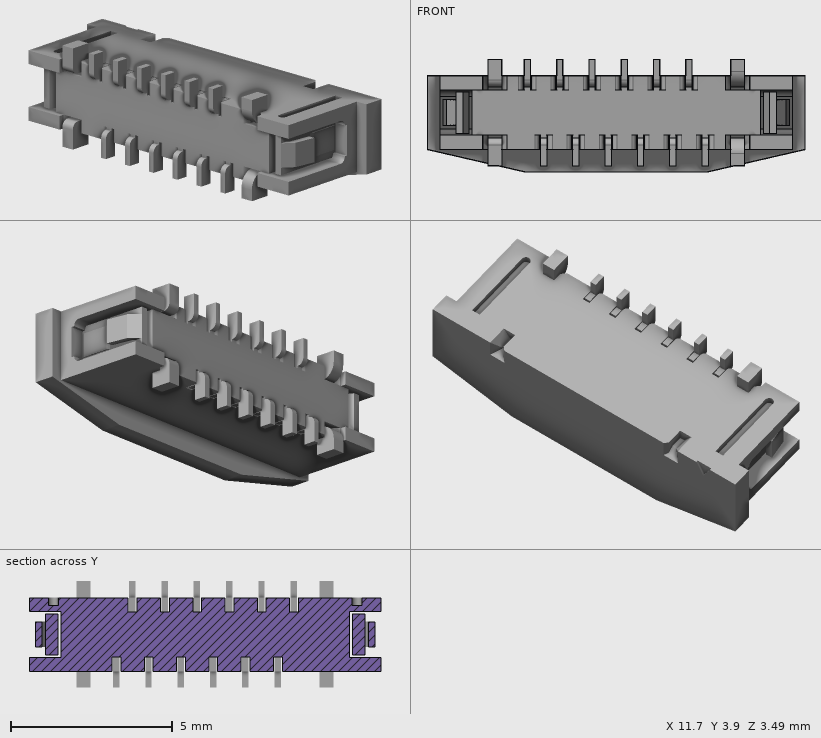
import cadquery as cq


flange_width = 11.7
total_depth = 3.9
flange_depth = 0.7
flange_step = 0.4
housing_height = 2.29
front_y = 0.25
ear_front_y = 0.06
ear_inner_x = 4.14
hump_drop = 0.7
hump_half_width = 2.8

flange_front_y = total_depth - flange_depth
body_half_width = flange_width / 2 - flange_step
top_z = housing_height / 2

window_height = 1.4
window_inner_x = 4.47
window_back_y = 2.65
window_corner_radius = 0.2
window_relief_depth = 0.1

slab_z = window_height / 2
slab_thickness = top_z - slab_z

plate_height = 1.29
plate_outer_x = 4.96
plate_front_inner_x = 4.74
plate_back_inner_x = 4.55
plate_taper_end_y = 0.62
plate_embed = 0.02
lance_height = 0.8
lance_bend = (5.25, 0.6)
lance_tip = (5.36, 1.35)
lance_thickness = 0.22
pad_front_y = 1.59
pad_ramp_length = 0.1
pad_rise = 0.04

groove_center_x = 4.7
groove_width = 0.29
groove_front_y = 0.47
groove_depth = 0.23

notch_inner_x = 3.19
notch_outer_x = 3.63
notch_floor_width = 0.15
notch_depth = 0.35
notch_ramp_length = 0.3
notch_ramp_drop = 0.23
notch_flare = 0.12

mark_center_x = -4.61
mark_width = 0.53
mark_height = 0.47
mark_depth = 0.07

contact_count = 12
contact_row_span = 5.5
contact_width = 0.2
pin_rise = 0.5
pin_length = 0.71
contact_post_length = 0.42
bend_radius = 0.22
wide_bend_radius = 0.49
bend_bottom_gap = 0.08
pin_root = 0.06
slot_width = 0.26
slot_back_y = 0.78
slot_mouth_radius = 0.14
fitting_x = 3.75
fitting_width = 0.43
fitting_mouth_chamfer = 0.15
fitting_root_y = 0.53

contact_pitch = contact_row_span / (contact_count - 1)
pin_top_z = top_z + pin_rise
bend_bottom_z = slab_z + bend_bottom_gap


def block(x0, x1, y0, y1, z0, z1):
    """Box between two opposite corners."""
    return cq.Workplane("XY").box(x1 - x0, y1 - y0, z1 - z0, centered=False).translate((x0, y0, z0))


def from_plan(outline, height):
    """Prism of an XY outline, centred on the housing mid-height."""
    return cq.Workplane("XY").polyline(outline).close().extrude(height / 2, both=True)


def both_ends(solid):
    """The solid together with its mirror image at the other end of the part."""
    return solid.union(solid.mirror("YZ"))


def upside_down(solid):
    return solid.mirror("XY")


def make_housing():
    body = block(-body_half_width, body_half_width, front_y, total_depth, -top_z, top_z)
    half_width = flange_width / 2
    flange = (
        cq.Workplane("XZ", origin=(0, total_depth, 0))
        .moveTo(-half_width, top_z)
        .lineTo(half_width, top_z)
        .lineTo(half_width, -top_z)
        .lineTo(hump_half_width, -top_z - hump_drop)
        .lineTo(-hump_half_width, -top_z - hump_drop)
        .lineTo(-half_width, -top_z)
        .close()
        .extrude(flange_depth)
    )
    ear = block(ear_inner_x, body_half_width, ear_front_y, front_y, slab_z, top_z)
    ears = both_ends(ear.union(upside_down(ear)))
    return body.union(flange).union(ears)


def make_windows():
    window = block(window_inner_x, flange_width / 2, 0, window_back_y, -slab_z, slab_z)
    window = window.edges("|X and >Y").fillet(window_corner_radius)
    relief_z = slab_z - window_corner_radius
    relief_y = window_back_y + window_relief_depth
    relief = block(window_inner_x, flange_width / 2, window_back_y, relief_y, -relief_z, relief_z)
    return both_ends(window.union(relief))


def make_plates():
    relief_y = window_back_y + window_relief_depth
    plate_back_y = relief_y + plate_embed
    plate = from_plan(
        [
            (plate_front_inner_x, front_y),
            (plate_outer_x, front_y),
            (plate_outer_x, plate_back_y),
            (plate_back_inner_x, plate_back_y),
            (plate_back_inner_x, plate_taper_end_y),
        ],
        plate_height,
    )
    pad = from_plan(
        [
            (plate_outer_x, pad_front_y),
            (plate_outer_x + pad_rise, pad_front_y + pad_ramp_length),
            (plate_outer_x + pad_rise, relief_y - pad_ramp_length),
            (plate_outer_x, relief_y),
        ],
        lance_height,
    )
    bend_x, bend_y = lance_bend
    tip_x, tip_y = lance_tip
    lance = from_plan(
        [
            (plate_outer_x, front_y),
            lance_bend,
            lance_tip,
            (tip_x - lance_thickness, tip_y),
            (bend_x - lance_thickness, bend_y),
            (plate_front_inner_x, front_y),
        ],
        lance_height,
    )
    return both_ends(plate.union(pad).union(lance))


def make_grooves():
    end_radius = groove_width / 2
    groove = (
        cq.Workplane("XY", origin=(groove_center_x, 0, top_z))
        .moveTo(-end_radius, flange_front_y)
        .lineTo(-end_radius, groove_front_y + end_radius)
        .threePointArc((0, groove_front_y), (end_radius, groove_front_y + end_radius))
        .lineTo(end_radius, flange_front_y)
        .close()
        .extrude(-groove_depth)
    )
    return both_ends(groove)


def make_notches():
    floor_z = top_z - notch_depth
    floor_outer_x = notch_inner_x + notch_floor_width
    ramp_front_y = total_depth - notch_ramp_length
    pocket = (
        cq.Workplane("XZ", origin=(0, total_depth, 0))
        .moveTo(notch_inner_x, top_z)
        .lineTo(notch_outer_x, top_z)
        .lineTo(floor_outer_x, floor_z)
        .lineTo(notch_inner_x, floor_z)
        .close()
        .extrude(flange_depth)
    )
    flare = (
        cq.Workplane("XY", origin=(0, 0, floor_z - notch_ramp_drop))
        .moveTo(notch_inner_x, ramp_front_y)
        .lineTo(floor_outer_x, ramp_front_y)
        .lineTo(notch_outer_x, total_depth)
        .lineTo(notch_inner_x - notch_flare, total_depth)
        .lineTo(notch_inner_x, total_depth - notch_flare)
        .close()
        .extrude(notch_depth + notch_ramp_drop)
    )
    under_ramp = (
        cq.Workplane("YZ")
        .moveTo(ramp_front_y, floor_z)
        .lineTo(total_depth, floor_z - notch_ramp_drop)
        .lineTo(ramp_front_y, floor_z - notch_ramp_drop)
        .close()
        .extrude(flange_width / 2)
    )
    return both_ends(pocket.union(flare.cut(under_ramp)))


def make_pin_one_mark():
    return (
        cq.Workplane("XZ", origin=(mark_center_x, total_depth, top_z))
        .moveTo(-mark_width / 2, 0)
        .lineTo(mark_width / 2, 0)
        .lineTo(0, -mark_height)
        .close()
        .extrude(mark_depth)
    )


def contact_slot(x):
    """Slot through the upper slab with a rounded mouth at the front face."""
    half = slot_width / 2
    mouth = half + slot_mouth_radius
    arc_offset = slot_mouth_radius * (1 - 0.5 ** 0.5)
    arc_end_y = front_y + slot_mouth_radius
    return (
        cq.Workplane("XY", origin=(x, 0, slab_z))
        .moveTo(-mouth, front_y)
        .threePointArc((-half - arc_offset, front_y + arc_offset), (-half, arc_end_y))
        .lineTo(-half, slot_back_y)
        .lineTo(half, slot_back_y)
        .lineTo(half, arc_end_y)
        .threePointArc((half + arc_offset, front_y + arc_offset), (mouth, front_y))
        .close()
        .extrude(slab_thickness)
    )


def fitting_recess(x):
    """Recess through the upper slab with a chamfered mouth at the front face."""
    half = fitting_width / 2
    mouth = half + fitting_mouth_chamfer
    chamfer_end_y = front_y + fitting_mouth_chamfer
    outline = [
        (-mouth, front_y),
        (-half, chamfer_end_y),
        (-half, pin_length),
        (half, pin_length),
        (half, chamfer_end_y),
        (mouth, front_y),
    ]
    return cq.Workplane("XY", origin=(x, 0, slab_z)).polyline(outline).close().extrude(slab_thickness)


def pin(x, width, radius, post_length, root_y):
    """Upright post with a rounded lower front corner, joined to a root set into the slab.

    The root starts at root_y and is flush with the outer face of the slab.
    """
    arc_offset = radius * (1 - 0.5 ** 0.5)
    post = (
        cq.Workplane("YZ", origin=(x, 0, 0))
        .moveTo(0, pin_top_z)
        .lineTo(0, bend_bottom_z + radius)
        .threePointArc((arc_offset, bend_bottom_z + arc_offset), (radius, bend_bottom_z))
        .lineTo(post_length, bend_bottom_z)
        .lineTo(post_length, pin_top_z)
        .close()
        .extrude(width / 2, both=True)
    )
    root = block(x - width / 2, x + width / 2, root_y, pin_length, slab_z - pin_root, top_z)
    return post.union(root)


def place(feature, row):
    """Keep a feature on the upper slab (row 0) or flip it to the lower slab (row 1)."""
    return feature if row == 0 else upside_down(feature)


result = make_housing().cut(make_windows()).union(make_plates())
result = result.cut(make_grooves()).cut(make_notches()).cut(make_pin_one_mark())

for index in range(contact_count):
    contact_x = index * contact_pitch - contact_row_span / 2
    contact_row = index % 2
    contact = pin(contact_x, contact_width, bend_radius, contact_post_length, front_y)
    result = result.cut(place(contact_slot(contact_x), contact_row)).union(place(contact, contact_row))

for end_x, end_radius in ((-fitting_x, bend_radius), (fitting_x, wide_bend_radius)):
    for fitting_row in (0, 1):
        fitting = pin(end_x, fitting_width, end_radius, pin_length, fitting_root_y)
        result = result.cut(place(fitting_recess(end_x), fitting_row)).union(place(fitting, fitting_row))